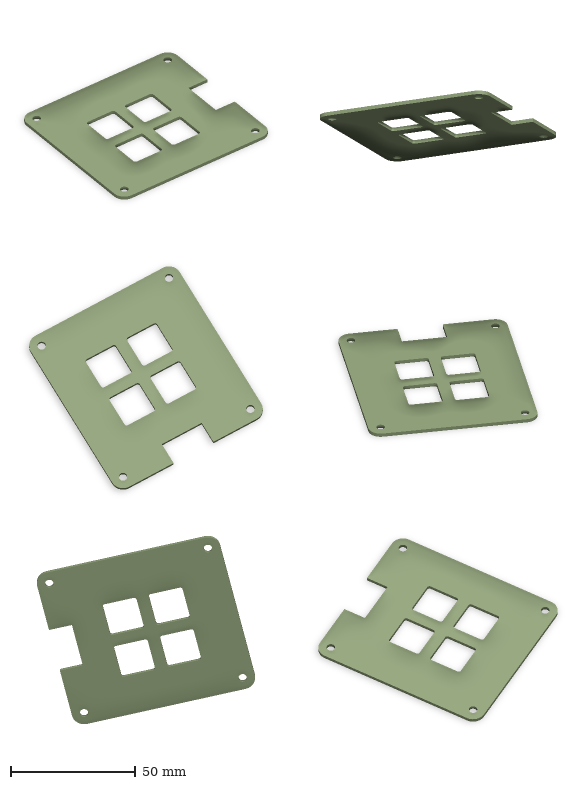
import cadquery as cq

plate_width = 69.1
plate_length = 75.7
plate_thickness = 1.5
corner_radius = 5.0

screw_hole_diameter = 3.4
screw_hole_inset = corner_radius

notch_left_offset = 25.0
notch_width = 18.5
notch_depth = 9.5

window_size = 14.0
window_corner_radius = 1.0
window_pitch = 19.05
windows_per_side = 2
window_grid_center = (1.15, -2.15)


def make_plate():
    """Rounded plate centred on the XY origin, resting on Z = 0."""
    blank = cq.Workplane("XY").box(
        plate_width, plate_length, plate_thickness, centered=(True, True, False)
    )
    return blank.edges("|Z").fillet(corner_radius)


def make_screw_holes():
    """Cylinders that cut the four corner screw holes."""
    spacing_x = plate_width - 2 * screw_hole_inset
    spacing_y = plate_length - 2 * screw_hole_inset
    return (
        cq.Workplane("XY")
        .rect(spacing_x, spacing_y, forConstruction=True)
        .vertices()
        .circle(screw_hole_diameter / 2)
        .extrude(plate_thickness)
    )


def make_notch():
    """Block that cuts the open notch in the +Y edge."""
    center_x = -plate_width / 2 + notch_left_offset + notch_width / 2
    center_y = plate_length / 2 - notch_depth / 2
    return (
        cq.Workplane("XY")
        .center(center_x, center_y)
        .rect(notch_width, notch_depth)
        .extrude(plate_thickness)
    )


def make_windows():
    """Round-cornered blocks that cut the grid of switch windows."""
    return (
        cq.Workplane("XY")
        .center(*window_grid_center)
        .rarray(window_pitch, window_pitch, windows_per_side, windows_per_side)
        .rect(window_size, window_size)
        .extrude(plate_thickness)
        .edges("|Z")
        .fillet(window_corner_radius)
    )


result = make_plate().cut(make_screw_holes()).cut(make_notch()).cut(make_windows())